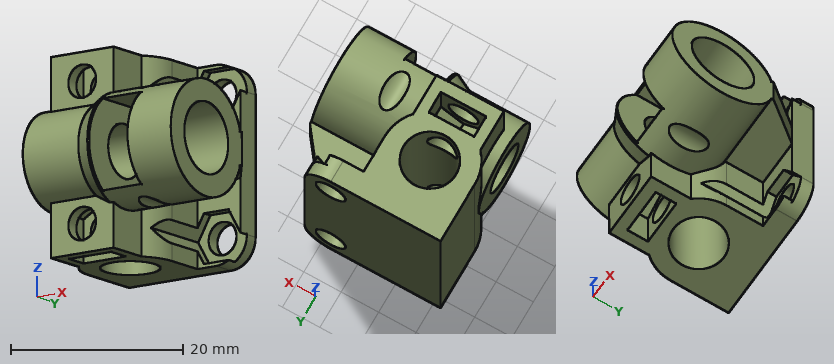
import cadquery as cq
import math

height = 24.0
length = 22.0
clamp_radius = 6.0
clamp_bore_radius = 3.5
clamp_x = clamp_radius
clamp_y = 14.0
tab_width = 9.0
tab_front_y = 4.5

large_radius = 7.0
small_radius = 6.0
rod_bore_radius = 3.26
wide_bore_radius = 4.32
rod_y = large_radius
cone_start_x = 8.0
cone_end_x = 10.0

flange_thickness = 3.0
flange_front_y = length - flange_thickness
flange_hole_x = 14.7
flange_corner_radius = 3.5
flange_end_x = flange_hole_x + flange_corner_radius
web_thickness = 4.0

screw_radius = 2.0
screw_z = height / 2 - flange_corner_radius
nut_flats = 6.05
nut_trap_front_y = 6.1
nut_trap_thickness = 2.83
flange_nut_depth = 1.25
flange_nut_front_y = rod_y
rod_nut_flats = 11.0
rod_nut_start_x = 10.3
rod_nut_thickness = 5.5


def box(x_min, x_max, y_min, y_max, z_min, z_max):
    size = (x_max - x_min, y_max - y_min, z_max - z_min)
    return cq.Workplane("XY").box(*size, centered=False).translate((x_min, y_min, z_min))


def cylinder_y(radius, x, z, y_min, y_max):
    base = cq.Vector(x, y_min, z)
    return cq.Workplane(cq.Solid.makeCylinder(radius, y_max - y_min, base, cq.Vector(0, 1, 0)))


def make_flange_nut_trap():
    """Hexagonal pocket in the flange, with its upper outer corner open to the outside."""
    half_flats = nut_flats / 2
    corner = half_flats / math.cos(math.pi / 6)
    depth = flange_front_y + flange_nut_depth - flange_nut_front_y
    return (
        cq.Workplane("XZ", origin=(flange_hole_x, flange_nut_front_y, screw_z))
        .moveTo(-corner, 0)
        .lineTo(-corner / 2, half_flats)
        .lineTo(flange_corner_radius, half_flats)
        .lineTo(flange_corner_radius, 0)
        .lineTo(corner, 0)
        .lineTo(corner / 2, -half_flats)
        .lineTo(-corner / 2, -half_flats)
        .close()
        .extrude(-depth)
    )


def make_clamp():
    rear = box(0, 2 * clamp_radius, clamp_y, length, -height / 2, height / 2)
    round_wall = (
        cq.Workplane("XY", origin=(clamp_x, clamp_y, -height / 2))
        .circle(clamp_radius)
        .extrude(height)
    )
    tab = box(
        clamp_x - tab_width / 2, clamp_x + tab_width / 2,
        tab_front_y, clamp_y, -height / 2, height / 2,
    )
    return rear.union(round_wall).union(tab)


def make_flange():
    flange = box(clamp_x, flange_end_x, flange_front_y, length, -height / 2, height / 2)
    return flange.edges("|Y and >X").fillet(flange_corner_radius)


def make_web():
    return (
        cq.Workplane("XY", origin=(0, 0, -web_thickness / 2))
        .moveTo(clamp_x, rod_y)
        .lineTo(length, rod_y)
        .lineTo(length, rod_y + large_radius)
        .lineTo(flange_end_x, flange_front_y)
        .lineTo(clamp_x, flange_front_y)
        .close()
        .extrude(web_thickness)
    )


def make_housing():
    """Stepped round body turned about the rod axis."""
    return (
        cq.Workplane("XY", origin=(0, rod_y, 0))
        .lineTo(0, small_radius)
        .lineTo(cone_start_x, small_radius)
        .lineTo(cone_end_x, large_radius)
        .lineTo(length, large_radius)
        .lineTo(length, 0)
        .close()
        .revolve(360, (0, 0, 0), (1, 0, 0))
    )


def make_rod_nut_trap():
    """Hexagon around the rod axis, open toward the front."""
    half_flats = rod_nut_flats / 2
    corner = half_flats / math.cos(math.pi / 6)
    return (
        cq.Workplane("YZ", origin=(rod_nut_start_x, 0, 0))
        .moveTo(0, -half_flats)
        .lineTo(rod_y + corner / 2, -half_flats)
        .lineTo(rod_y + corner, 0)
        .lineTo(rod_y + corner / 2, half_flats)
        .lineTo(0, half_flats)
        .close()
        .extrude(rod_nut_thickness)
    )


def make_clamp_nut_trap():
    """Slot open at the top, ending in the lower half of a hexagon."""
    half_flats = nut_flats / 2
    corner = half_flats / math.cos(math.pi / 6)
    return (
        cq.Workplane("XZ", origin=(clamp_x, nut_trap_front_y, 0))
        .moveTo(-half_flats, height / 2)
        .lineTo(-half_flats, screw_z - corner / 2)
        .lineTo(0, screw_z - corner)
        .lineTo(half_flats, screw_z - corner / 2)
        .lineTo(half_flats, height / 2)
        .close()
        .extrude(-nut_trap_thickness)
    )


flange_nut_trap = make_flange_nut_trap()
body = make_clamp().union(make_flange()).union(make_web())
body = body.cut(flange_nut_trap).cut(flange_nut_trap.mirror("XY"))
body = body.union(make_housing())

clamp_bore = (
    cq.Workplane("XY", origin=(clamp_x, clamp_y, -height / 2))
    .circle(clamp_bore_radius)
    .extrude(height)
)
body = body.cut(clamp_bore)

rod_bore = cq.Workplane("YZ", origin=(0, rod_y, 0)).circle(rod_bore_radius).extrude(length)
wide_bore = (
    cq.Workplane("YZ", origin=(rod_nut_start_x, rod_y, 0))
    .circle(wide_bore_radius)
    .extrude(length - rod_nut_start_x)
)
body = body.cut(rod_bore).cut(wide_bore).cut(make_rod_nut_trap())

clamp_nut_trap = make_clamp_nut_trap()
body = body.cut(clamp_nut_trap).cut(clamp_nut_trap.mirror("XY"))
for z in (screw_z, -screw_z):
    clamp_screw = cylinder_y(screw_radius, clamp_x, z, 0, clamp_y)
    flange_screw = cylinder_y(screw_radius, flange_hole_x, z, 0, length)
    body = body.cut(clamp_screw).cut(flange_screw)

result = body